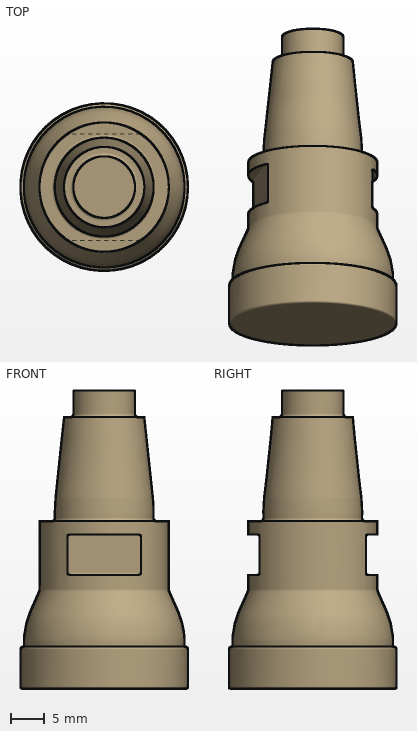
import cadquery as cq
import math

base_diameter = 25.04
base_height = 6.3
base_top_round = 0.5
base_bottom_round = 0.3

dome_diameter = 24.0
dome_start_z = 7.1
dome_middle_z = 11.55
dome_middle_radius = 11.03
dome_top_z = 14.65
dome_top_angle = math.radians(24)

collar_diameter = 19.3
collar_top_z = 25.0
collar_foot_fillet = 0.7
flat_spacing = 15.9
flat_bottom_z = 17.0
flat_height = 6.0
flat_corner_fillet = 0.25

neck_foot_diameter = 14.7
neck_foot_fillet = 0.4
neck_bend_z = 28.5
neck_bend_diameter = 14.55
neck_top_z = 40.5
neck_top_diameter = 12.0

tip_diameter = 9.2
tip_top_z = 44.5
tip_foot_fillet = 0.5
tip_top_round = 0.2


def round_edge_at(body, z, radius, size):
    """Round the circular edge of the given radius that lies at height z."""
    reach = radius + size / 2
    inner = radius - size / 2
    slack = size / 4
    outer = cq.selectors.BoxSelector((-reach, -reach, z - slack), (reach, reach, z + slack), boundingbox=True)
    inside = cq.selectors.BoxSelector((-inner, -inner, z - slack), (inner, inner, z + slack), boundingbox=True)
    return body.edges(cq.selectors.SubtractSelector(outer, inside)).fillet(size)


def make_base():
    disc = cq.Workplane("XY").circle(base_diameter / 2).extrude(base_height)
    disc = disc.faces(">Z").edges().fillet(base_top_round)
    return disc.faces("<Z").edges().fillet(base_bottom_round)


def make_turned_body():
    dome_radius = dome_diameter / 2
    collar_radius = collar_diameter / 2
    neck_foot_radius = neck_foot_diameter / 2
    tip_radius = tip_diameter / 2

    dome_points = [(dome_middle_radius, dome_middle_z), (dome_radius, dome_start_z)]
    dome_directions = [(math.sin(dome_top_angle), -math.cos(dome_top_angle)), (0, -1)]

    body = (
        cq.Workplane("XZ")
        .moveTo(0, tip_top_z)
        .lineTo(tip_radius, tip_top_z)
        .lineTo(tip_radius, neck_top_z)
        .lineTo(neck_top_diameter / 2, neck_top_z)
        .lineTo(neck_bend_diameter / 2, neck_bend_z)
        .tangentArcPoint((neck_foot_radius, collar_top_z), relative=False)
        .lineTo(collar_radius, collar_top_z)
        .lineTo(collar_radius, dome_top_z)
        .spline(dome_points, tangents=dome_directions, includeCurrent=True)
        .lineTo(dome_radius, base_height)
        .lineTo(0, base_height)
        .close()
        .revolve(360, (0, 0, 0), (0, 1, 0))
    )
    body = round_edge_at(body, dome_top_z, collar_radius, collar_foot_fillet)
    body = round_edge_at(body, collar_top_z, neck_foot_radius, neck_foot_fillet)
    body = round_edge_at(body, neck_top_z, tip_radius, tip_foot_fillet)
    return round_edge_at(body, tip_top_z, tip_radius, tip_top_round)


def make_flat_cutter(side):
    """Block that mills one flat into the collar; its inner edges along X are rounded."""
    depth = collar_diameter - flat_spacing
    inner_side = "<Y" if side > 0 else ">Y"
    return (
        cq.Workplane("XY")
        .box(collar_diameter, depth, flat_height, centered=(True, True, False))
        .translate((0, side * (flat_spacing + depth) / 2, flat_bottom_z))
        .faces(inner_side)
        .edges("|X")
        .fillet(flat_corner_fillet)
    )


def make_plug():
    body = make_turned_body()
    for side in (-1, 1):
        body = body.cut(make_flat_cutter(side))
    return body


base = make_base()
plug = make_plug()

result = cq.Compound.makeCompound([base.val(), plug.val()])